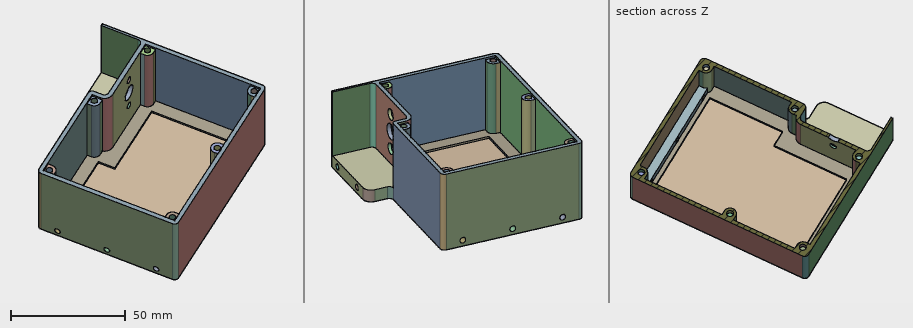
import cadquery as cq
import math

width = 80.0
length = 88.0
height = 38.0

wall = 2.0
floor = 2.0
corner_radius = 2.0

shelf_height = 6.0
shelf_length = 36.0
shelf_overhang = 12.0
shelf_width = 20.0
shelf_corner_radius = 4.0
fence_thickness = 1.1

pocket_margin = 6.0
pocket_depth = 1.0
ledge_width = 4.0
ledge_height = 6.0

boss_radius = 2.9
boss_inset = 2.0
boss_drop = 1.0
boss_hole_diameter = 2.8
boss_hole_depth = 20.0

mount_hole_diameter = 2.7
mount_hole_height = 3.0
front_hole_spacing = 24.0
shelf_hole_inset = 6.0
shelf_hole_spacing = 20.0
shelf_hole_depth = 10.0

opening_diameter = 7.5
screw_offset = 8.5
screw_diameter = 3.2
countersink_diameter = 5.3
countersink_angle = 90

shelf_front = length - shelf_length
fence_front = length - fence_thickness
cavity_left = shelf_overhang + wall
cavity_right = width - wall
cavity_back = length - wall
step_x = shelf_width + wall
step_y = shelf_front - wall


def prism(points, bottom, top, corners):
    """Extrude a polygon and round the vertical edges listed as (x, y, radius)."""
    solid = cq.Workplane("XY").workplane(offset=bottom).polyline(points).close().extrude(top - bottom)
    middle = (bottom + top) / 2
    for x, y, radius in corners:
        edge = cq.selectors.NearestToPointSelector((x, y, middle))
        solid = solid.edges("|Z").edges(edge).fillet(radius)
    return solid


def stepped_outline(margin):
    """L-shaped outline of the cavity, moved in from its walls by a margin."""
    left = cavity_left + margin
    right = cavity_right - margin
    front = wall + margin
    back = cavity_back - margin
    return [
        (left, front),
        (right, front),
        (right, back),
        (step_x + margin, back),
        (step_x + margin, step_y - margin),
        (left, step_y - margin),
    ]


def outer_block():
    """Base with the shelf, and above it the box with the thin fence behind the shelf."""
    box_points = [
        (0, length),
        (width, length),
        (width, 0),
        (shelf_overhang, 0),
        (shelf_overhang, shelf_front),
    ]
    box_corners = [(x, y, corner_radius) for x, y in box_points[1:]]
    base_corners = box_corners + [(0, shelf_front, shelf_corner_radius)]
    base = prism(box_points + [(0, shelf_front)], 0, shelf_height, base_corners)

    recess_points = [(shelf_width, shelf_front), (shelf_width, fence_front)]
    recess_corners = [(x, y, corner_radius) for x, y in recess_points]
    upper_points = box_points + recess_points + [(0, fence_front)]
    upper = prism(upper_points, shelf_height, height, box_corners + recess_corners)
    return base.union(upper)


def cavity():
    """Inside of the box; the step corner is concentric with the rounding of the shelf recess."""
    return prism(stepped_outline(0), floor, height, [(step_x, step_y, corner_radius + wall)])


def floor_pocket():
    """Shallow pocket in the floor that follows the cavity walls."""
    return prism(stepped_outline(pocket_margin), floor - pocket_depth, floor, [])


def front_ledge():
    """Ledge that thickens the foot of the front wall."""
    corner = (cavity_left, wall, floor)
    size = (cavity_right - cavity_left, ledge_width, ledge_height - floor)
    return cq.Workplane("XY").box(*size, centered=False).translate(corner)


def boss_places():
    """Hole centre of each boss and the directions (-1, 0 or 1) of the walls it joins."""
    left = cavity_left + boss_inset
    right = cavity_right - boss_inset
    front = wall + boss_inset
    middle = step_y - boss_inset
    back = cavity_back - boss_inset
    return [
        (left, front, -1, -1),
        (right, front, 1, -1),
        (left, middle, -1, 1),
        (right, middle, 1, 0),
        (step_x + boss_inset, back, -1, 1),
        (right, back, 1, 1),
    ]


def boss(x, y, wall_x, wall_y):
    """Round post filled out to the neighbouring walls."""
    base = cq.Workplane("XY").workplane(offset=floor).center(x, y)
    post_height = height - boss_drop - floor
    diameter = 2 * boss_radius
    post = base.circle(boss_radius).extrude(post_height)
    fill_x = base.center(wall_x * boss_inset / 2, 0).rect(boss_inset, diameter).extrude(post_height)
    post = post.union(fill_x)
    if wall_y:
        fill_y = base.center(0, wall_y * boss_inset / 2).rect(diameter, boss_inset).extrude(post_height)
        post = post.union(fill_y)
    return post.intersect(cavity())


def boss_hole(x, y):
    """Blind screw hole from the top of a boss."""
    start = height - boss_drop - boss_hole_depth
    hole = cq.Workplane("XY").workplane(offset=start).center(x, y)
    return hole.circle(boss_hole_diameter / 2).extrude(boss_hole_depth)


def front_holes():
    """Row of holes through the front wall and the ledge behind it."""
    middle = (shelf_overhang + width) / 2
    places = [(middle + i * front_hole_spacing, mount_hole_height) for i in (-1, 0, 1)]
    row = cq.Workplane("XZ").pushPoints(places).circle(mount_hole_diameter / 2)
    return row.extrude(-(wall + ledge_width))


def shelf_holes():
    """Blind holes in the left edge of the shelf."""
    back_hole = length - shelf_hole_inset
    places = [(back_hole - i * shelf_hole_spacing, mount_hole_height) for i in (0, 1)]
    return cq.Workplane("YZ").pushPoints(places).circle(mount_hole_diameter / 2).extrude(shelf_hole_depth)


def side_wall_holes():
    """Plain opening between two countersunk holes, centred on the wall beside the shelf."""
    middle_y = length - shelf_length / 2
    middle_z = (shelf_height + height) / 2
    face = cq.Workplane("YZ").workplane(offset=shelf_width).center(middle_y, middle_z)
    opening = face.circle(opening_diameter / 2).extrude(wall)
    screws = face.pushPoints([(0, -screw_offset), (0, screw_offset)])
    shafts = screws.circle(screw_diameter / 2).extrude(wall)
    cone_depth = (countersink_diameter - screw_diameter) / 2 / math.tan(math.radians(countersink_angle / 2))
    countersinks = screws.circle(countersink_diameter / 2).extrude(cone_depth, taper=countersink_angle / 2)
    return opening.union(shafts).union(countersinks)


result = outer_block().cut(cavity()).cut(floor_pocket()).union(front_ledge())
for x, y, wall_x, wall_y in boss_places():
    result = result.union(boss(x, y, wall_x, wall_y)).cut(boss_hole(x, y))
result = result.cut(front_holes()).cut(shelf_holes()).cut(side_wall_holes())